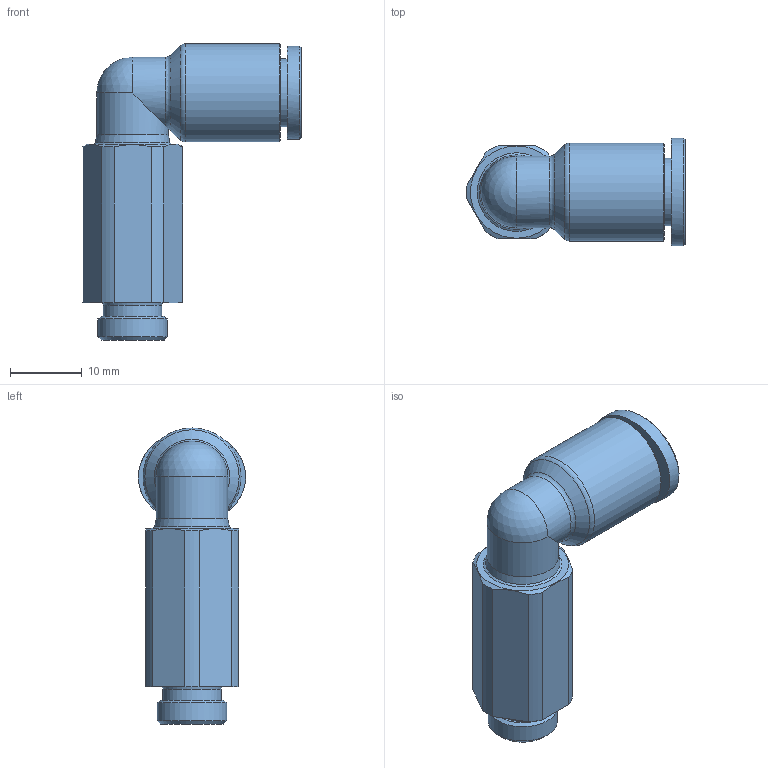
import cadquery as cq
import math


elbow_radius = 5.0
flare_start_z = -5.85
flare_end_z = -7.0
flare_radius = 5.2
seat_radius = 5.5

nut_sides = 6
nut_across_flats = 13.0
nut_corner_diameter = 14.0
nut_top_z = -7.2
nut_length = 22.1
nut_bottom_z = nut_top_z - nut_length
nut_crown_radius = 6.45
nut_crown_angle = math.radians(30)

spigot_root_radius = 4.2
spigot_root_drop = 0.35
spigot_neck_radius = 4.1
spigot_neck_length = 1.95
spigot_shoulder_radius = 4.4
spigot_head_radius = 4.85
spigot_shoulder_height = 0.35
spigot_tip_radius = 4.4
spigot_tip_height = 0.5
spigot_bottom_z = -34.55
spigot_shoulder_z = nut_bottom_z - spigot_neck_length

socket_radius = 6.85
socket_end_x = 20.65
socket_rim_chamfer = 0.15
cone_start_x = 4.95
cone_length = 2.0
cone_blend_radius = 1.0

ring_neck_radius = 4.75
ring_start_x = 21.6
ring_end_x = 23.6
ring_width = 15.0
ring_height = 13.0
ring_chamfer = 0.2


def revolve_about_z(points):
    """Revolve a closed (radius, z) outline about the stem axis."""
    return cq.Workplane("XZ").polyline(points).close().revolve(360, (0, 0), (0, 1))


def make_elbow():
    """Vertical leg of the bend: a ball at the corner above a stem that flares at the nut."""
    ball = cq.Workplane("XY").sphere(elbow_radius)
    stem = cq.Workplane("XY").circle(elbow_radius).extrude(flare_start_z)
    flare = revolve_about_z([
        (0, flare_start_z),
        (elbow_radius, flare_start_z),
        (flare_radius, flare_end_z),
        (seat_radius, nut_top_z),
        (0, nut_top_z),
    ])
    return ball.union(stem).union(flare)


def make_nut():
    """Hexagon with corners on +X and -X, turned to a round and crowned on top."""
    corner_radius = nut_corner_diameter / 2
    crown_drop = (corner_radius - nut_crown_radius) * math.tan(nut_crown_angle)
    hexagon = (
        cq.Workplane("XY", origin=(0, 0, nut_bottom_z))
        .polygon(nut_sides, nut_across_flats / math.cos(math.pi / nut_sides))
        .extrude(nut_length)
    )
    turned_blank = revolve_about_z([
        (0, nut_bottom_z),
        (corner_radius, nut_bottom_z),
        (corner_radius, nut_top_z - crown_drop),
        (nut_crown_radius, nut_top_z),
        (0, nut_top_z),
    ])
    return hexagon.intersect(turned_blank)


def make_spigot():
    """Necked round end below the nut, with a chamfered head."""
    return revolve_about_z([
        (0, nut_bottom_z),
        (spigot_root_radius, nut_bottom_z),
        (spigot_neck_radius, nut_bottom_z - spigot_root_drop),
        (spigot_neck_radius, spigot_shoulder_z),
        (spigot_shoulder_radius, spigot_shoulder_z),
        (spigot_head_radius, spigot_shoulder_z - spigot_shoulder_height),
        (spigot_head_radius, spigot_bottom_z + spigot_tip_height),
        (spigot_tip_radius, spigot_bottom_z),
        (0, spigot_bottom_z),
    ])


def make_socket():
    """Tube socket: horizontal leg of the bend, blended through a cone into the large barrel."""
    slope = math.atan2(socket_radius - elbow_radius, cone_length)
    tangent = cone_blend_radius * math.tan(slope / 2)
    along_x = tangent * math.cos(slope)
    along_r = tangent * math.sin(slope)
    half_tangent_x = cone_blend_radius * math.sin(slope / 2)
    half_sagitta = cone_blend_radius * (1 - math.cos(slope / 2))
    cone_end_x = cone_start_x + cone_length
    inner_start_x = cone_start_x - tangent
    outer_end_x = cone_end_x + tangent
    profile = (
        cq.Workplane("XY")
        .moveTo(0, 0)
        .lineTo(0, elbow_radius)
        .lineTo(inner_start_x, elbow_radius)
        .threePointArc(
            (inner_start_x + half_tangent_x, elbow_radius + half_sagitta),
            (cone_start_x + along_x, elbow_radius + along_r),
        )
        .lineTo(cone_end_x - along_x, socket_radius - along_r)
        .threePointArc(
            (outer_end_x - half_tangent_x, socket_radius - half_sagitta),
            (outer_end_x, socket_radius),
        )
        .lineTo(socket_end_x - socket_rim_chamfer, socket_radius)
        .lineTo(socket_end_x, socket_radius - socket_rim_chamfer)
        .lineTo(socket_end_x, 0)
        .close()
    )
    return profile.revolve(360, (0, 0), (1, 0))


def make_release_ring():
    """Oval push ring, wide along Y, on a round neck."""
    neck = (
        cq.Workplane("YZ", origin=(socket_end_x, 0, 0))
        .circle(ring_neck_radius)
        .extrude(ring_start_x - socket_end_x)
    )
    ring = (
        cq.Workplane("YZ", origin=(ring_start_x, 0, 0))
        .ellipse(ring_width / 2, ring_height / 2)
        .extrude(ring_end_x - ring_start_x)
        .faces(">X")
        .chamfer(ring_chamfer)
    )
    return neck.union(ring)


result = (
    make_elbow()
    .union(make_socket())
    .union(make_nut())
    .union(make_spigot())
    .union(make_release_ring())
)